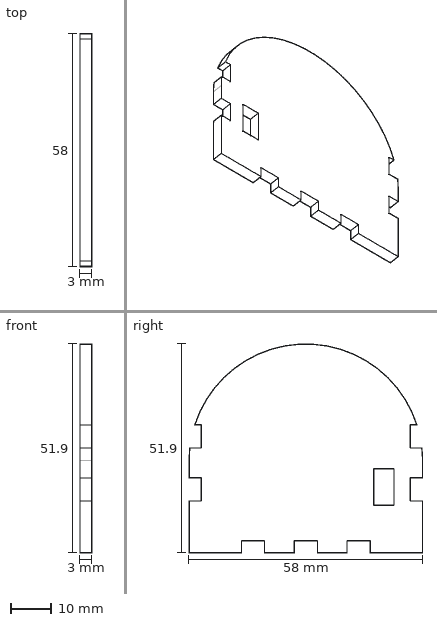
import cadquery as cq

thickness = 3.0
width = 58.0
height = 51.9
top_radius = width / 2
arc_center_z = height - top_radius

notch_depth = thickness
side_notch_height = 5.7
side_notch_bottoms = (12.95, 26.1)
bottom_notch_width = 5.7
bottom_notch_pitch = 13.1

window_width = 5.0
window_height = 9.0
window_center_y = 19.4
window_bottom = 11.9


def block(size_y, size_z, center_y, bottom_z):
    """Full-thickness block, centred on X, standing on bottom_z."""
    return (
        cq.Workplane("XY")
        .box(thickness, size_y, size_z, centered=(True, True, False))
        .translate((0, center_y, bottom_z))
    )


def arched_plate():
    """Rectangular lower part with a semicircle on top."""
    return (
        cq.Workplane("YZ")
        .moveTo(-width / 2, 0)
        .lineTo(width / 2, 0)
        .lineTo(width / 2, arc_center_z)
        .threePointArc((0, height), (-width / 2, arc_center_z))
        .close()
        .extrude(thickness / 2, both=True)
    )


result = arched_plate()

for side in (-1, 1):
    for bottom in side_notch_bottoms:
        notch = block(2 * notch_depth, side_notch_height, side * width / 2, bottom)
        result = result.cut(notch)

for step in (-1, 0, 1):
    notch = block(bottom_notch_width, notch_depth, step * bottom_notch_pitch, 0)
    result = result.cut(notch)

result = result.cut(block(window_width, window_height, window_center_y, window_bottom))